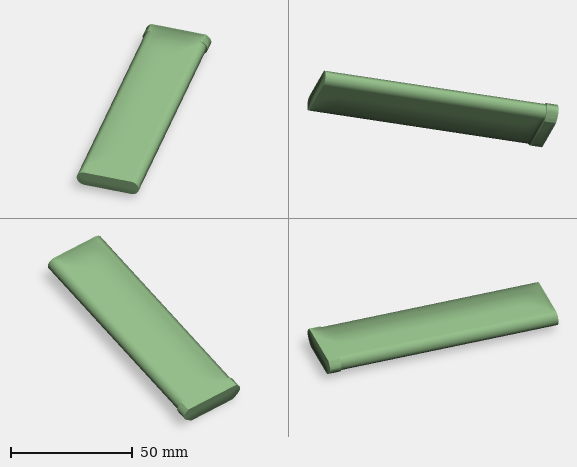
import math

import cadquery as cq

total_length = 99.8
flange_length = 5.0
body_length = total_length - flange_length

body_width = 26.7
body_height = 6.5
top_z = body_height / 2
body_half_flat = (body_width - body_height) / 2

flange_width = 28.0
flange_height = 7.8
flange_top_width = 23.8
flange_bottom_width = 2 * body_half_flat
flange_bottom_z = top_z - flange_height


def make_body():
    """Bar of rounded section running along +Y from the Y = 0 end face."""
    return (
        cq.Workplane("XZ")
        .moveTo(-body_half_flat, top_z)
        .lineTo(body_half_flat, top_z)
        .threePointArc((body_width / 2, 0), (body_half_flat, -top_z))
        .lineTo(-body_half_flat, -top_z)
        .threePointArc((-body_width / 2, 0), (-body_half_flat, top_z))
        .close()
        .extrude(-body_length)
    )


def make_flange():
    """End flange with flat top and bottom joined by parabolic sides."""
    half_top = flange_top_width / 2
    half_bottom = flange_bottom_width / 2

    top_bulge = flange_width / 2 - half_top
    bottom_bulge = flange_width / 2 - half_bottom
    control_x = half_top + top_bulge + math.sqrt(top_bulge * bottom_bulge)
    control_z = (top_z + flange_bottom_z) / 2

    right_top = (half_top, top_z)
    right_bottom = (half_bottom, flange_bottom_z)
    left_top = (-half_top, top_z)
    left_bottom = (-half_bottom, flange_bottom_z)
    return (
        cq.Workplane("XZ", origin=(0, body_length, 0))
        .moveTo(*left_top)
        .lineTo(*right_top)
        .bezier([right_top, (control_x, control_z), right_bottom])
        .lineTo(*left_bottom)
        .bezier([left_bottom, (-control_x, control_z), left_top])
        .close()
        .extrude(-flange_length)
    )


result = make_body().union(make_flange())